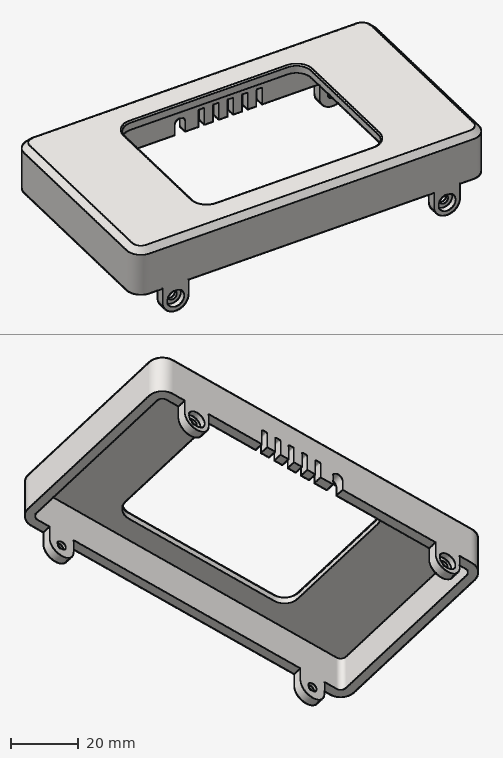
import cadquery as cq

WIDTH = 68.0
LENGTH = 121.8
TOTAL_HEIGHT = 26.1
BODY_HEIGHT = 16.5
WALL = 3.0
TOP_THICKNESS = 3.0
CORNER_RADIUS = 5.0
TOP_CHAMFER = 2.0

WINDOW_WIDTH = 48.1
WINDOW_LENGTH = 64.3
WINDOW_RADIUS = 5.0
WINDOW_CHAMFER = 0.5

LUG_THICKNESS = WALL
LUG_RADIUS = 4.5
LUG_OFFSET_Y = 46.9
SCREW_HOLE_DIAMETER = 3.0
COUNTERBORE_DIAMETER = 5.8
COUNTERBORE_DEPTH = 2.0

VENT_COUNT = 5
VENT_WIDTH = 2.0
VENT_HEIGHT = 6.2
VENT_CORNER_RADIUS = 0.5
VENT_PITCH = 5.0
FIRST_VENT_Y = 21.5
CABLE_NOTCH_WIDTH = 3.5
CABLE_NOTCH_HEIGHT = 5.5
CABLE_NOTCH_CORNER_RADIUS = 1.7
CABLE_NOTCH_Y = -5.8

OUTER_X = WIDTH / 2
LUG_CENTRE_Z = BODY_HEIGHT - TOTAL_HEIGHT + LUG_RADIUS


def rounded_block(width, length, height, radius):
    """Block standing on Z = 0 with rounded vertical edges."""
    block = cq.Workplane("XY").box(width, length, height, centered=(True, True, False))
    return block.edges("|Z").fillet(radius)


def make_shell():
    """Chamfered cover, hollow from below."""
    outside = rounded_block(WIDTH, LENGTH, BODY_HEIGHT, CORNER_RADIUS)
    outside = outside.faces(">Z").chamfer(TOP_CHAMFER)
    cavity = rounded_block(
        WIDTH - 2 * WALL,
        LENGTH - 2 * WALL,
        BODY_HEIGHT - TOP_THICKNESS,
        CORNER_RADIUS - WALL,
    )
    return outside.cut(cavity)


def cut_window(shell):
    """Cut the rounded window and chamfer its upper rim."""
    opening = rounded_block(WINDOW_WIDTH, WINDOW_LENGTH, BODY_HEIGHT, WINDOW_RADIUS)
    opened = shell.cut(opening)
    rim = opened.faces(">Z").val().innerWires()[0]
    return opened.newObject(rim.Edges()).chamfer(WINDOW_CHAMFER)


def x_cylinder(diameter, x_start, length, y):
    """Cylinder along +X on the lug axis."""
    return (
        cq.Workplane("YZ", origin=(x_start, y, LUG_CENTRE_Z))
        .circle(diameter / 2)
        .extrude(length)
    )


def make_lug(y):
    """Lug with a counterbored screw hole, on the -X side."""
    tongue = (
        cq.Workplane("YZ", origin=(-OUTER_X, y, 0))
        .moveTo(-LUG_RADIUS, 0)
        .lineTo(-LUG_RADIUS, LUG_CENTRE_Z)
        .threePointArc((0, LUG_CENTRE_Z - LUG_RADIUS), (LUG_RADIUS, LUG_CENTRE_Z))
        .lineTo(LUG_RADIUS, 0)
        .close()
        .extrude(LUG_THICKNESS)
    )
    hole = x_cylinder(SCREW_HOLE_DIAMETER, -OUTER_X, LUG_THICKNESS, y)
    counterbore = x_cylinder(COUNTERBORE_DIAMETER, -OUTER_X, COUNTERBORE_DEPTH, y)
    return tongue.cut(hole).cut(counterbore)


def make_notch(y, width, height, corner_radius):
    """Cutter for a notch with rounded upper corners, through the -X wall."""
    return (
        cq.Workplane("XY")
        .box(WALL, width, height, centered=(False, True, False))
        .edges("|X and >Z")
        .fillet(corner_radius)
        .translate((-OUTER_X, y, 0))
    )


result = cut_window(make_shell())

for lug_y in (-LUG_OFFSET_Y, LUG_OFFSET_Y):
    lug = make_lug(lug_y)
    result = result.union(lug).union(lug.mirror("YZ"))

for index in range(VENT_COUNT):
    vent_y = FIRST_VENT_Y - index * VENT_PITCH
    result = result.cut(make_notch(vent_y, VENT_WIDTH, VENT_HEIGHT, VENT_CORNER_RADIUS))

cable_notch = make_notch(
    CABLE_NOTCH_Y, CABLE_NOTCH_WIDTH, CABLE_NOTCH_HEIGHT, CABLE_NOTCH_CORNER_RADIUS
)
result = result.cut(cable_notch)